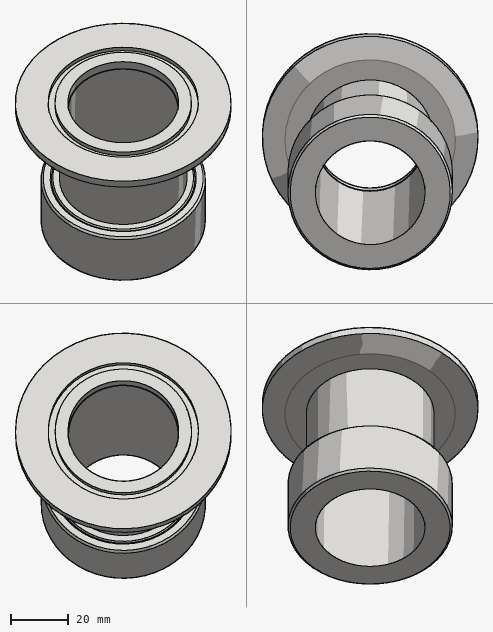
import cadquery as cq
import math

total_height = 60.96

bore_diameter = 38.1
tube_diameter = 44.45

flange_diameter = 75.01
flange_rim_height = 3.0
flange_cone_angle = 15.0
flange_back_diameter = 59.2
flange_bore_diameter = 38.48
flange_bore_depth = 3.6
seal_groove_outer_diameter = 52.2
seal_groove_inner_diameter = 47.42
seal_groove_depth = 1.75

collar_diameter = 57.15
collar_height = 22.225
collar_chamfer = 0.76

sleeve_diameter = 49.9
sleeve_top_diameter = 48.9
sleeve_chamfer = (sleeve_diameter - sleeve_top_diameter) / 2
sleeve_rise = 0.25
sleeve_top = collar_height + sleeve_rise

collar_mouth_diameter = 50.8


def cylinder(diameter, bottom, top):
    """Solid cylinder on the Z axis between two heights."""
    return cq.Workplane("XY", origin=(0, 0, bottom)).circle(diameter / 2).extrude(top - bottom)


def ring(outer_diameter, inner_diameter, bottom, top):
    """Plain ring on the Z axis between two heights."""
    return cylinder(outer_diameter, bottom, top).cut(cylinder(inner_diameter, bottom, top))


def make_flange():
    """Disc with a conical back face."""
    rim_radius = flange_diameter / 2
    back_radius = flange_back_diameter / 2
    rim_bottom = total_height - flange_rim_height
    back = rim_bottom - (rim_radius - back_radius) * math.tan(math.radians(flange_cone_angle))
    profile = [
        (0, total_height),
        (rim_radius, total_height),
        (rim_radius, rim_bottom),
        (back_radius, back),
        (0, back),
    ]
    return cq.Workplane("XZ").polyline(profile).close().revolve(360, (0, 0, 0), (0, 1, 0))


def make_collar():
    """Collar with chamfered outer edges and a 45 degree countersink around the sleeve."""
    collar = cylinder(collar_diameter, 0, collar_height).edges().chamfer(collar_chamfer)
    sleeve_hole = cylinder(sleeve_diameter, 0, collar_height)
    mouth_chamfer = (collar_mouth_diameter - sleeve_diameter) / 2
    smallest_circles = cq.selectors.RadiusNthSelector(0)
    collar = collar.cut(sleeve_hole)
    return collar.edges(smallest_circles).edges(">Z").chamfer(mouth_chamfer)


def make_sleeve():
    """Sleeve filling the collar, with its top edge chamfered."""
    return cylinder(sleeve_diameter, 0, sleeve_top).faces(">Z").edges().chamfer(sleeve_chamfer)


tube = cylinder(tube_diameter, 0, total_height)
body = tube.union(make_flange()).union(make_collar()).union(make_sleeve())

seal_groove = ring(
    seal_groove_outer_diameter,
    seal_groove_inner_diameter,
    total_height - seal_groove_depth,
    total_height,
)
bore = cylinder(bore_diameter, 0, total_height)
flange_bore = cylinder(flange_bore_diameter, total_height - flange_bore_depth, total_height)

result = body.cut(seal_groove).cut(bore).cut(flange_bore)